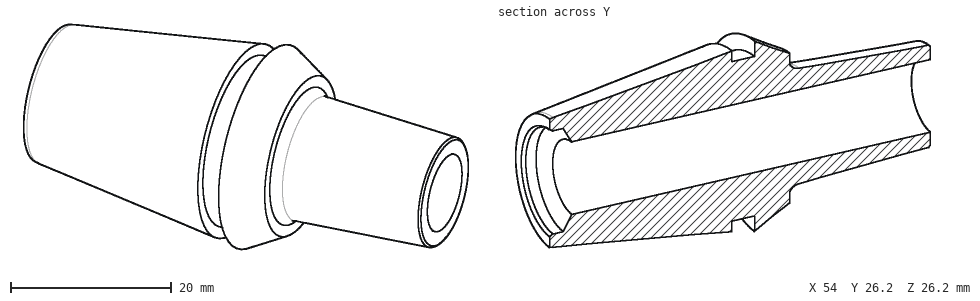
import cadquery as cq
import math

length = 54.0
body_end = 25.85
flange_start = 29.05
flange_end = 34.1
shank_start = 35.35

body_end_radius = 12.5
body_start_radius = 8.95
groove_radius = 11.0
flange_radius = 13.1
flange_end_radius = 10.3
shank_start_radius = 8.0
shank_end_radius = 7.1

body_chamfer_length = 0.5
body_chamfer_depth = 0.1
shank_chamfer = 0.25
root_fillet = 1.4

bore_radius = 4.95
counterbore_radius = 7.1
counterbore_depth = 1.95
mouth_chamfer_length = 0.5
mouth_chamfer_depth = 0.25
seat_half_angle = math.radians(60)
seat_end = counterbore_depth + (counterbore_radius - bore_radius) / math.tan(seat_half_angle)


def revolve_about_x(profile):
    return profile.revolve(360, (0, 0, 0), (1, 0, 0))


def make_outside():
    """Tapered body, groove, conical flange and tapered shank."""
    root_center_radius = shank_start_radius + root_fillet
    root_angle = math.asin((shank_start - flange_end) / root_fillet)
    root_start = (flange_end, root_center_radius - root_fillet * math.cos(root_angle))
    root_middle = (
        shank_start - root_fillet * math.sin(root_angle / 2),
        root_center_radius - root_fillet * math.cos(root_angle / 2),
    )
    profile = (
        cq.Workplane("XY")
        .moveTo(0, 0)
        .lineTo(0, body_start_radius - body_chamfer_depth)
        .lineTo(body_chamfer_length, body_start_radius)
        .lineTo(body_end, body_end_radius)
        .lineTo(body_end, groove_radius)
        .lineTo(flange_start, groove_radius)
        .lineTo(flange_start, flange_radius)
        .lineTo(flange_end, flange_end_radius)
        .lineTo(*root_start)
        .threePointArc(root_middle, (shank_start, shank_start_radius))
        .lineTo(length - shank_chamfer, shank_end_radius)
        .lineTo(length, shank_end_radius - shank_chamfer)
        .lineTo(length, 0)
        .close()
    )
    return revolve_about_x(profile)


def make_bore():
    """Through bore with a conical seat, counterbore and chamfered mouth."""
    profile = (
        cq.Workplane("XY")
        .moveTo(0, 0)
        .lineTo(0, counterbore_radius + mouth_chamfer_depth)
        .lineTo(mouth_chamfer_length, counterbore_radius)
        .lineTo(counterbore_depth, counterbore_radius)
        .lineTo(seat_end, bore_radius)
        .lineTo(length, bore_radius)
        .lineTo(length, 0)
        .close()
    )
    return revolve_about_x(profile)


result = make_outside().cut(make_bore())